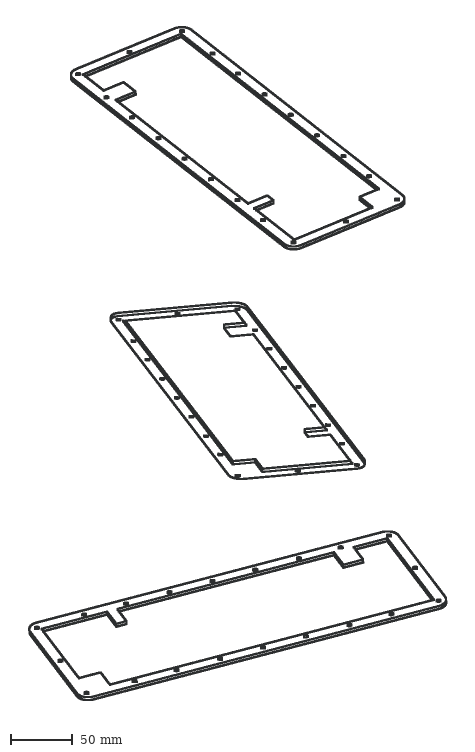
import cadquery as cq

LENGTH = 325.85
WIDTH = 116.3
THICKNESS = 3.0
TILT_DEGREES = 3.0
CORNER_RADIUS = 10.0
RAIL_WIDTH = 10.0

HOLE_DIAMETER = 3.3
HOLE_EDGE_DISTANCE = 6.0
CORNER_HOLE_EDGE_DISTANCE = 7.1
LONG_RAIL_HOLE_OFFSETS = (0.0, 37.9, 76.4, 113.5)

WIDE_TAB_CENTER_X = -114.5
WIDE_TAB_WIDTH = 17.5
WIDE_TAB_REACH = 19.6
NARROW_TAB_CENTER_X = 90.4
NARROW_TAB_WIDTH = 9.0
NARROW_TAB_REACH = 19.0

CORNER_PAD_SIZE = 19.2

OPENING_LENGTH = LENGTH - 2 * RAIL_WIDTH
OPENING_WIDTH = WIDTH - 2 * RAIL_WIDTH


def make_plate():
    """Rounded rectangular plate centred on the origin."""
    return cq.Workplane("XY").box(LENGTH, WIDTH, THICKNESS).edges("|Z").fillet(CORNER_RADIUS)


def make_front_tab(center_x, tab_width, reach):
    """Tab from the middle of the front rail into the opening."""
    root_y = -(WIDTH - RAIL_WIDTH) / 2
    tip_y = -OPENING_WIDTH / 2 + reach
    return (
        cq.Workplane("XY")
        .center(center_x, (root_y + tip_y) / 2)
        .box(tab_width, tip_y - root_y, THICKNESS)
    )


def make_opening():
    """Rectangular opening less the tabs and the corner pad."""
    opening = cq.Workplane("XY").box(OPENING_LENGTH, OPENING_WIDTH, THICKNESS)
    corner_pad = (
        cq.Workplane("XY")
        .center((OPENING_LENGTH - CORNER_PAD_SIZE) / 2, (OPENING_WIDTH - CORNER_PAD_SIZE) / 2)
        .box(CORNER_PAD_SIZE, CORNER_PAD_SIZE, THICKNESS)
    )
    wide_tab = make_front_tab(WIDE_TAB_CENTER_X, WIDE_TAB_WIDTH, WIDE_TAB_REACH)
    narrow_tab = make_front_tab(NARROW_TAB_CENTER_X, NARROW_TAB_WIDTH, NARROW_TAB_REACH)
    return opening.cut(corner_pad).cut(wide_tab).cut(narrow_tab)


def hole_centers():
    """Hole positions, mirrored about both centre lines of the plate."""
    side_x = LENGTH / 2 - HOLE_EDGE_DISTANCE
    rail_y = WIDTH / 2 - HOLE_EDGE_DISTANCE
    corner_x = LENGTH / 2 - CORNER_HOLE_EDGE_DISTANCE
    corner_y = WIDTH / 2 - CORNER_HOLE_EDGE_DISTANCE
    centers = set()
    for x_sign in (-1, 1):
        centers.add((x_sign * side_x, 0.0))
        for y_sign in (-1, 1):
            centers.add((x_sign * corner_x, y_sign * corner_y))
            for offset in LONG_RAIL_HOLE_OFFSETS:
                centers.add((x_sign * offset, y_sign * rail_y))
    return sorted(centers)


def make_holes():
    """Round cutters through the full plate thickness."""
    return (
        cq.Workplane("XY")
        .workplane(offset=-THICKNESS / 2)
        .pushPoints(hole_centers())
        .circle(HOLE_DIAMETER / 2)
        .extrude(THICKNESS)
    )


flat_frame = make_plate().cut(make_opening()).cut(make_holes())

result = flat_frame.rotate((0, 0, 0), (1, 0, 0), TILT_DEGREES)